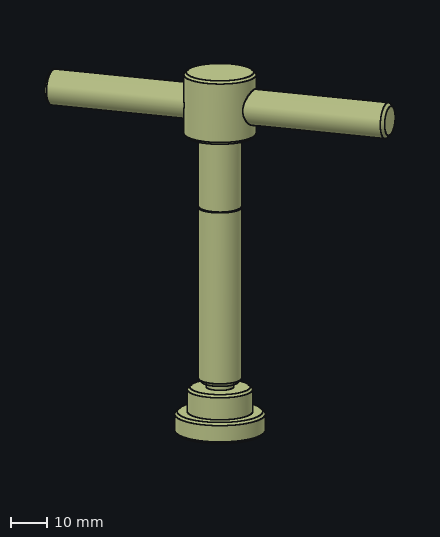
import cadquery as cq

total_height = 102.5
bar_length = 100.0

flange_diameter = 25.0
flange_height = 6.0
hub_diameter = 18.0
hub_height = 7.0

shaft_diameter = 12.0
shaft_bottom = 14.5
neck_diameter = 7.6
joint_level = 64.3
groove_bevel = 0.2

head_diameter = 20.0
head_height = 18.0
bar_diameter = 10.0

edge_chamfer = 0.7
bar_chamfer = 0.9
shaft_chamfer = 1.0

pad_top = flange_height + hub_height
head_bottom = total_height - head_height
bar_level = head_bottom + head_height / 2


def cylinder(diameter, bottom, top):
    """Upright cylinder on the Z axis between two levels."""
    return cq.Workplane("XY").workplane(offset=bottom).circle(diameter / 2).extrude(top - bottom)


def make_pad():
    flange = cylinder(flange_diameter, 0, flange_height).edges().chamfer(edge_chamfer)
    hub = cylinder(hub_diameter, flange_height, pad_top).faces(">Z").edges().chamfer(edge_chamfer)
    return flange.union(hub)


def make_spindle():
    neck = cylinder(neck_diameter, pad_top, shaft_bottom)
    lower = cylinder(shaft_diameter, shaft_bottom, joint_level)
    lower = lower.faces("<Z").edges().chamfer(shaft_chamfer)
    lower = lower.faces(">Z").edges().chamfer(groove_bevel)
    upper = cylinder(shaft_diameter, joint_level, head_bottom)
    return neck.union(lower).union(upper)


def make_head():
    return cylinder(head_diameter, head_bottom, total_height).edges().chamfer(edge_chamfer)


def make_bar():
    bar = cq.Workplane("YZ").center(0, bar_level).circle(bar_diameter / 2)
    return bar.extrude(bar_length / 2, both=True).faces("<X or >X").edges().chamfer(bar_chamfer)


result = make_pad().union(make_spindle()).union(make_head()).union(make_bar())